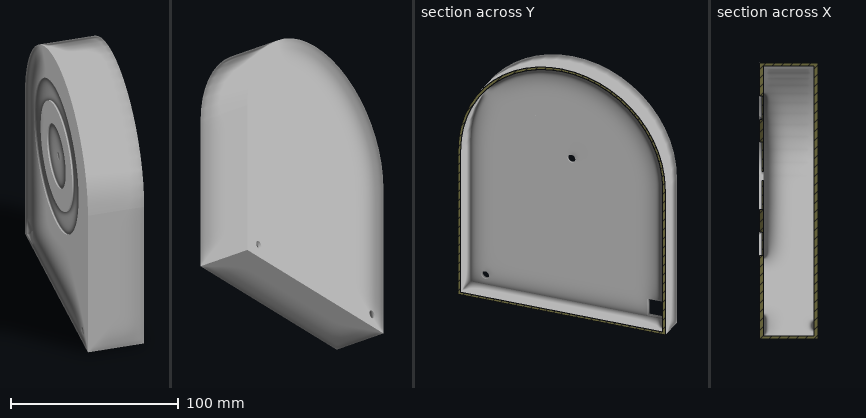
import cadquery as cq
width = 135.0
depth = 35.0
height = 165.0
arch_radius = width / 2
arch_centre_z = height - arch_radius
front_wall = 2.5
back_wall = 2.5
side_wall = 2.0

outer_diameter = 95.0
middle_diameter = 67.5
inner_diameter = 40.0
insert_recess = front_wall / 2

hole_diameter = 5.0
hole_x = 56.1
hole_z = 8.1
window_width = 13.0
window_height = 11.0


def arch(offset, y_start, length):
    """Arch-shaped prism, its outline set in from the housing outline by offset."""
    radius = arch_radius - offset
    return (
        cq.Workplane("XZ", origin=(0, y_start, 0))
        .moveTo(-radius, offset)
        .lineTo(radius, offset)
        .lineTo(radius, arch_centre_z)
        .threePointArc((0, arch_centre_z + radius), (-radius, arch_centre_z))
        .close()
        .extrude(-length)
    )


def cylinder(diameter, x, z, y_start, length):
    """Round bar running along +Y from y_start."""
    return (
        cq.Workplane("XZ", origin=(x, y_start, z))
        .circle(diameter / 2)
        .extrude(-length)
    )


def make_housing():
    cavity = arch(side_wall, front_wall, depth - front_wall - back_wall)
    opening = cylinder(outer_diameter, 0, arch_centre_z, 0, front_wall)
    window = cq.Workplane("XY").box(window_width, front_wall, window_height).translate(
        (-hole_x, front_wall / 2, hole_z)
    )
    housing = arch(0, 0, depth).cut(cavity).cut(opening).cut(window)
    for x in (-hole_x, hole_x):
        housing = housing.cut(cylinder(hole_diameter, x, hole_z, 0, depth))
    return housing


def make_insert(diameter, bore, recess):
    """Flat ring in the front opening, ending flush with the inside of the front wall."""
    thickness = front_wall - recess
    blank = cylinder(diameter, 0, arch_centre_z, recess, thickness)
    return blank.cut(cylinder(bore, 0, arch_centre_z, recess, thickness))


housing = make_housing()
outer_ring = make_insert(outer_diameter, middle_diameter, insert_recess)
middle_ring = make_insert(middle_diameter, inner_diameter, 0)
centre_disc = make_insert(inner_diameter, hole_diameter, insert_recess)

result = cq.Compound.makeCompound(
    [housing.val(), outer_ring.val(), middle_ring.val(), centre_disc.val()]
)